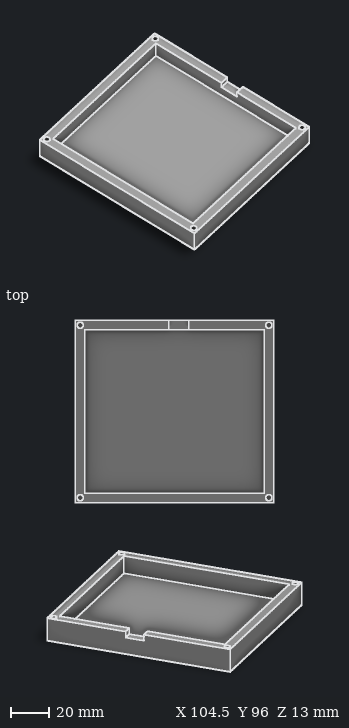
import cadquery as cq

length = 104.5
width = 96.0
height = 13.0

wall = 5.0
floor = 3.0
cavity_depth = height - floor

hole_diameter = 3.2
hole_depth = cavity_depth
hole_inset = 2.7

notch_width = 10.5
notch_depth = 3.5
notch_center_x = 2.2


def make_tray():
    """Rectangular tray centred on X and Y, with its underside at Z = 0."""
    block = cq.Workplane("XY").box(length, width, height, centered=(True, True, False))
    cavity = (
        cq.Workplane("XY")
        .workplane(offset=floor)
        .rect(length - 2 * wall, width - 2 * wall)
        .extrude(cavity_depth)
    )
    return block.cut(cavity)


def make_corner_holes():
    """Four blind holes running down from the rim."""
    return (
        cq.Workplane("XY")
        .workplane(offset=height - hole_depth)
        .rect(length - 2 * hole_inset, width - 2 * hole_inset, forConstruction=True)
        .vertices()
        .circle(hole_diameter / 2)
        .extrude(hole_depth)
    )


def make_notch():
    """Rectangular opening that crosses the full thickness of the +Y wall."""
    return (
        cq.Workplane("XY")
        .workplane(offset=height - notch_depth)
        .center(notch_center_x, (width - wall) / 2)
        .rect(notch_width, wall)
        .extrude(notch_depth)
    )


result = make_tray().cut(make_corner_holes()).cut(make_notch())